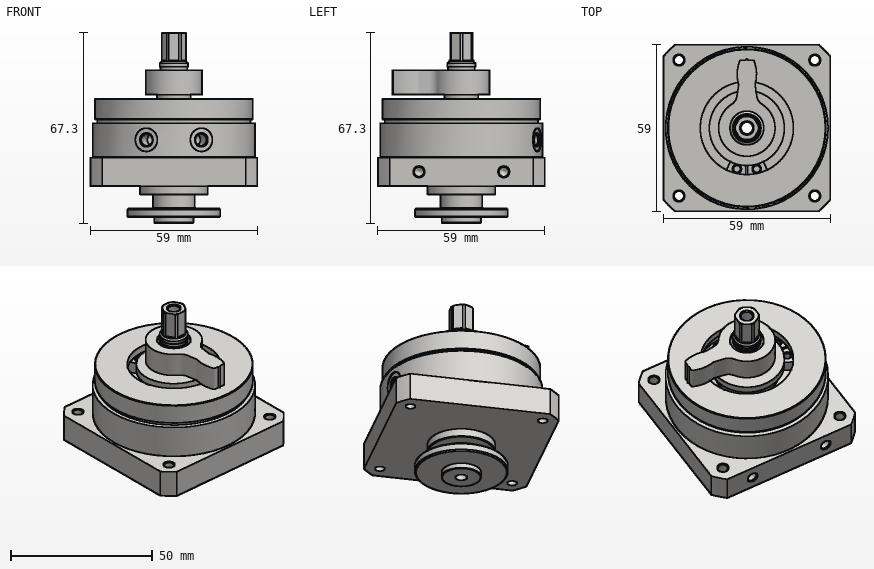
import cadquery as cq
import math

drill_tip_angle = 118.0
countersink_angle = 90.0

total_height = 67.3
flange_bottom = 2.0
flange_top = 5.2
boss_bottom = 10.0
base_bottom = 13.1
base_top = 23.2
body_top = 35.4
cap_bottom = 36.6
cap_top = 44.1
lever_bottom = 45.4
lever_top = 54.2
bead_bottom = 55.3
bead_top = 56.5
ring_groove_bottom = 54.1
shoulder_top = 53.9
hex_bottom = 57.7

base_width = 59.0
base_corner_diameter = 77.85
mount_hole_offset = 24.0
side_hole_offset = 15.0
side_hole_depth = 7.4
screw_hole_diameter = 3.4
screw_hole_mouth = 4.1

body_diameter = 57.55
groove_diameter = 54.3
cap_diameter = 56.0
boss_diameter = 24.0
edge_chamfer = 0.235

port_angle = 20.0
port_level = 29.5
port_face_diameter = 8.3
port_face_distance = 28.4
port_hole_diameter = 4.2
port_hole_mouth = 5.0
port_depth = 6.7

slot_inner_diameter = 26.6
slot_outer_diameter = 33.0
slot_neck_diameter = 23.0
slot_overhang = (slot_inner_diameter - slot_neck_diameter) / 2
slot_wide_diameter = slot_outer_diameter + 2 * slot_overhang
lip_bottom = 41.3
slot_floor = 36.8

shaft_diameter = 12.0
ring_groove_diameter = 9.6
bead_diameter = 10.0
hex_round_diameter = 8.7
hex_across_flats = 7.95
tip_diameter = 8.3
lower_shaft_diameter = 14.9
lower_shaft_flare = 0.35
flange_diameter = 33.0
flange_chamfer = 0.5
pilot_diameter = 14.0
bore_diameter = 4.2
bore_mouth = 5.0

hub_diameter = 20.0
finger_end = 24.0
finger_half_tip = 2.4
finger_half_belly = 3.4
finger_belly_y = 18.9
finger_half_waist = 2.9
finger_waist_y = 15.3
finger_half_root = 3.85
finger_root_y = 9.2
pointer_height = 0.5
tip_fillet = 0.5
waist_fillet = 1.0
root_fillet = 4.0

nut_top = 41.05
nut_gap = 0.7
nut_end_angle = 26.0
nut_hole_angle = 13.6
nut_hole_diameter = 2.5
nut_hole_mouth = 3.2


def disc(diameter, bottom, top):
    """Cylinder on the Z axis between two levels."""
    return cq.Workplane("XY").workplane(offset=bottom).circle(diameter / 2).extrude(top - bottom)


def ring(inner_diameter, outer_diameter, bottom, top):
    """Annular cylinder on the Z axis between two levels."""
    return disc(outer_diameter, bottom, top).cut(disc(inner_diameter, bottom, top))


def drilled_hole(plane, diameter, mouth, depth):
    """Cutter for a blind hole with a chamfered mouth and a drill-point end, along the plane's normal."""
    radius = diameter / 2
    tip_length = radius / math.tan(math.radians(drill_tip_angle / 2))
    mouth_depth = (mouth - diameter) / 2
    mouth_cone = cq.Workplane(cq.Solid.makeCone(mouth / 2, radius, mouth_depth))
    tip_cone = cq.Workplane(cq.Solid.makeCone(radius, 0, tip_length, pnt=cq.Vector(0, 0, depth)))
    cutter = disc(diameter, 0, depth).union(mouth_cone).union(tip_cone)
    return cq.Workplane(cutter.val().moved(cq.Location(plane)))


def make_base():
    """Square plate with turned corners, four through holes and two blind holes in its -X side."""
    height = base_top - base_bottom
    base = cq.Workplane("XY").workplane(offset=base_bottom).rect(base_width, base_width).extrude(height)
    base = base.intersect(disc(base_corner_diameter, base_bottom, base_top))
    base = (
        base.faces(">Z").workplane()
        .rect(2 * mount_hole_offset, 2 * mount_hole_offset, forConstruction=True)
        .vertices()
        .cskHole(screw_hole_diameter, screw_hole_mouth, countersink_angle)
    )
    for side in (-1, 1):
        mouth_centre = (-base_width / 2, side * side_hole_offset, (base_bottom + base_top) / 2)
        plane = cq.Plane(origin=mouth_centre, xDir=(0, 1, 0), normal=(1, 0, 0))
        base = base.cut(drilled_hole(plane, screw_hole_diameter, screw_hole_mouth, side_hole_depth))
    return base


def make_body():
    """Round body above the base, with two radial ports on the -Y side."""
    body = disc(body_diameter, base_top, body_top).faces("<Z").edges().chamfer(edge_chamfer)
    for side in (-1, 1):
        angle = math.radians(port_angle)
        outward = cq.Vector(side * math.sin(angle), -math.cos(angle), 0)
        centre = outward * port_face_distance + cq.Vector(0, 0, port_level)
        face_plane = cq.Plane(origin=centre, xDir=(0, 0, 1), normal=outward)
        hole_plane = cq.Plane(origin=centre, xDir=(0, 0, 1), normal=outward * -1)
        spot_face = cq.Workplane(face_plane).circle(port_face_diameter / 2).extrude(body_diameter / 2)
        hole = drilled_hole(hole_plane, port_hole_diameter, port_hole_mouth, port_depth)
        body = body.cut(spot_face).cut(hole)
    return body


def make_cap():
    """Disc on a narrower groove, with an annular T-slot open at the top."""
    cap = disc(cap_diameter, cap_bottom, cap_top).edges().chamfer(edge_chamfer)
    cap = cap.union(disc(groove_diameter, body_top, cap_bottom))
    cap = cap.cut(ring(slot_inner_diameter, slot_outer_diameter, lip_bottom, cap_top))
    return cap.cut(ring(slot_neck_diameter, slot_wide_diameter, slot_floor, lip_bottom))


def make_lower_end():
    """Boss under the base, and the shaft end with its flange and pilot."""
    boss = disc(boss_diameter, boss_bottom, base_bottom).faces("<Z").edges().chamfer(edge_chamfer)
    pilot = disc(pilot_diameter, 0, flange_bottom).faces("<Z").edges().chamfer(edge_chamfer)
    flange = disc(flange_diameter, flange_bottom, flange_top).edges().chamfer(flange_chamfer)
    root = cq.Workplane(cq.Solid.makeCone(
        lower_shaft_diameter / 2 + lower_shaft_flare, lower_shaft_diameter / 2, lower_shaft_flare,
        pnt=cq.Vector(0, 0, flange_top),
    ))
    lower_shaft = disc(lower_shaft_diameter, flange_top, boss_bottom)
    return boss.union(lower_shaft).union(root).union(flange).union(pilot)


def make_upper_shaft():
    """Stepped shaft above the cap, ending in a hexagon with rounded corners."""
    shoulder = (shaft_diameter - bead_diameter) / 2
    bead_slope = (bead_diameter - hex_round_diameter) / 2
    tip_chamfer = (hex_round_diameter - tip_diameter) / 2
    profile = [
        (0, cap_top),
        (shaft_diameter / 2, cap_top),
        (shaft_diameter / 2, shoulder_top - shoulder),
        (bead_diameter / 2, shoulder_top),
        (bead_diameter / 2, ring_groove_bottom),
        (ring_groove_diameter / 2, ring_groove_bottom),
        (ring_groove_diameter / 2, bead_bottom),
        (bead_diameter / 2, bead_bottom),
        (bead_diameter / 2, bead_top),
        (hex_round_diameter / 2, bead_top + bead_slope),
        (hex_round_diameter / 2, total_height - tip_chamfer),
        (tip_diameter / 2, total_height),
        (0, total_height),
    ]
    shaft = cq.Workplane("XZ").polyline(profile).close().revolve(360, (0, 0, 0), (0, 1, 0))
    hexagon_diameter = hex_across_flats / math.cos(math.radians(30))
    flats = (
        cq.Workplane("XY").workplane(offset=hex_bottom)
        .circle(shaft_diameter / 2).polygon(6, hexagon_diameter).extrude(total_height - hex_bottom)
    )
    return shaft.cut(flats)


def make_drive():
    """Housing and hollow shaft, one solid with a bore along its whole length."""
    drive = make_base().union(make_body()).union(make_cap())
    drive = drive.union(make_lower_end()).union(make_upper_shaft())
    shaft_tip = drive.faces(">Z").workplane(origin=(0, 0, total_height))
    return shaft_tip.cskHole(bore_diameter, bore_mouth, countersink_angle)


def make_lever():
    """Hub on the shaft with a waisted finger toward +Y and a small pointer at its end."""
    finger = (
        cq.Workplane("XY").workplane(offset=lever_bottom)
        .moveTo(-finger_half_root, 0)
        .lineTo(-finger_half_root, finger_root_y)
        .lineTo(-finger_half_waist, finger_waist_y)
        .threePointArc((-finger_half_belly, finger_belly_y), (-finger_half_tip, finger_end))
        .lineTo(-pointer_height, finger_end)
        .lineTo(0, finger_end + pointer_height)
        .lineTo(pointer_height, finger_end)
        .lineTo(finger_half_tip, finger_end)
        .threePointArc((finger_half_belly, finger_belly_y), (finger_half_waist, finger_waist_y))
        .lineTo(finger_half_root, finger_root_y)
        .lineTo(finger_half_root, 0)
        .close().extrude(lever_top - lever_bottom)
    )
    lever = disc(hub_diameter, lever_bottom, lever_top).union(finger)
    corners = (
        (finger_half_tip, finger_end, tip_fillet),
        (finger_half_waist, finger_waist_y, waist_fillet),
        (finger_half_root, finger_root_y, root_fillet),
    )
    reach = 0.35
    for x, y, radius in corners:
        for side in (-1, 1):
            near_corner = cq.selectors.BoxSelector(
                (side * x - reach, y - reach, lever_bottom), (side * x + reach, y + reach, lever_top)
            )
            lever = lever.edges("|Z").edges(near_corner).fillet(radius)
    return lever.cut(disc(shaft_diameter, lever_bottom, lever_top))


def make_stop_nut(side):
    """Block across the T-slot, just under its lips, beside the -Y direction, with a screw hole."""
    slot_radius = (slot_inner_diameter + slot_outer_diameter) / 4
    end_angle = math.radians(nut_end_angle)
    hole_angle = math.radians(nut_hole_angle)
    height = nut_top - slot_floor
    gap_x = side * nut_gap / 2
    reach = base_width / 2
    wedge = (
        cq.Workplane("XY").workplane(offset=slot_floor)
        .polyline([
            (gap_x, -nut_gap / 2 / math.tan(end_angle)),
            (gap_x, -reach),
            (side * reach * math.tan(end_angle), -reach),
        ])
        .close().extrude(height)
    )
    nut = ring(slot_neck_diameter, slot_wide_diameter, slot_floor, nut_top).intersect(wedge)
    hole_centre = (side * slot_radius * math.sin(hole_angle), -slot_radius * math.cos(hole_angle), nut_top)
    nut_face = nut.faces(">Z").workplane(origin=hole_centre)
    return nut_face.cskHole(nut_hole_diameter, nut_hole_mouth, countersink_angle)


drive = make_drive()
lever = make_lever()
stop_nuts = [make_stop_nut(side) for side in (-1, 1)]

result = cq.Compound.makeCompound([drive.val(), lever.val(), *[nut.val() for nut in stop_nuts]])